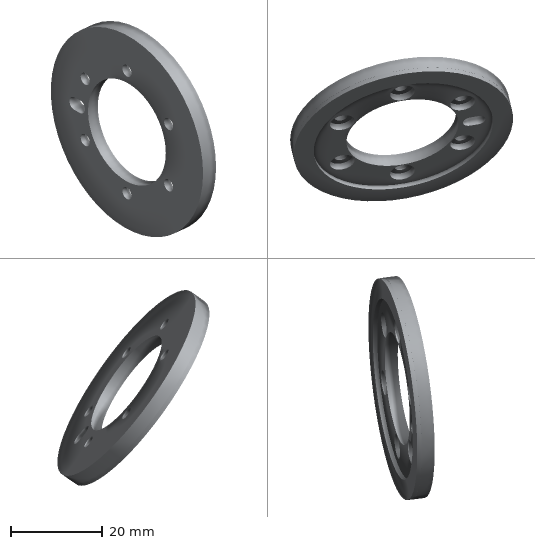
import cadquery as cq

outer_diameter = 49.0
bore_diameter = 25.0
thickness = 3.9
rim_height = 1.0
rim_outer_diameter = 48.95
rim_inner_diameter = 40.0
front_layer_thickness = thickness - rim_height

screw_hole_count = 6
screw_circle_diameter = 31.0
first_screw_angle = 90
screw_hole_diameter = 2.9
counterbore_diameter = 5.5
counterbore_floor_y = 1.3

slot_length = 5.0
slot_width = 3.2
slot_center_x = -16.0


def annulus(outer, inner, front_y, length):
    """Flat ring about the Y axis, from front_y toward +Y."""
    plane = cq.Workplane("XZ", origin=(0, front_y, 0))
    return plane.circle(outer / 2).circle(inner / 2).extrude(-length)


def screw_pins(diameter, front_y):
    """Cutting pins on the screw circle, from front_y to the back of the front layer."""
    return (
        cq.Workplane("XZ", origin=(0, front_y, 0))
        .polarArray(screw_circle_diameter / 2, first_screw_angle, 360, screw_hole_count)
        .circle(diameter / 2)
        .extrude(front_y - front_layer_thickness)
    )


def radial_slot():
    """Cutter for the round-ended through slot, long along X."""
    return (
        cq.Workplane("XZ")
        .center(slot_center_x, 0)
        .slot2D(slot_length, slot_width)
        .extrude(-front_layer_thickness)
    )


front_layer = annulus(outer_diameter, bore_diameter, 0, front_layer_thickness)
rim = annulus(rim_outer_diameter, rim_inner_diameter, front_layer_thickness, rim_height)
screw_holes = screw_pins(screw_hole_diameter, 0)
counterbores = screw_pins(counterbore_diameter, counterbore_floor_y)

result = front_layer.union(rim).cut(screw_holes).cut(counterbores).cut(radial_slot())